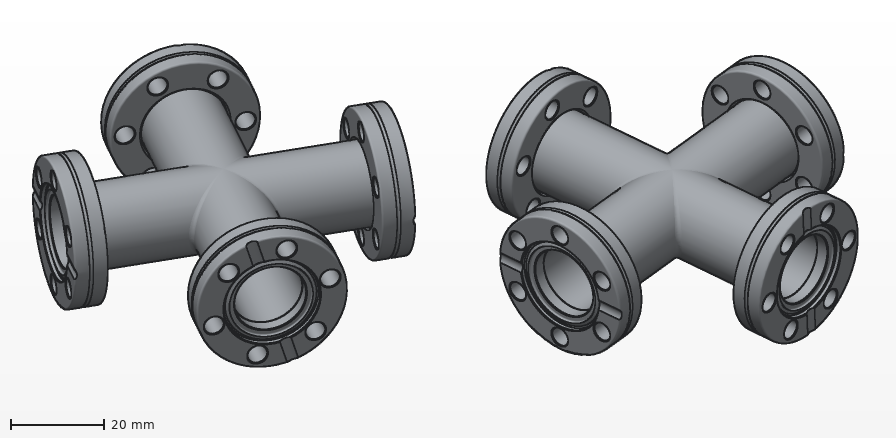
import cadquery as cq


PORT_REACH = 38.1
FLANGE_DIA = 33.7
FLANGE_THICKNESS = 7.55
BACK_PLANE = PORT_REACH - FLANGE_THICKNESS

TUBE_DIA = 19.1
TUBE_BORE_DIA = 15.8
SEAM_FILLET = 1.0
SOCKET_DEPTH = 3.3
TUBE_END = BACK_PLANE + SOCKET_DEPTH

FIXED_SOCKET_DIA = 19.3
RING_BORE_DIA = 19.4
BACK_MOUTH_DIA = 20.35

BORE_DIA = 16.0
FIXED_RECESS_DIA = 21.4
RING_RECESS_DIA = 21.5
INSERT_DIA = 21.3
KNIFE_DIA = 18.7
KNIFE_TIP_DEPTH = 0.7
KNIFE_FOOT_DIA = 20.4
OUTER_FLOOR_DEPTH = 1.1
KNIFE_ROOT_FILLET = 0.3
INNER_FLOOR_DEPTH = 1.4

RIM_FILLET = 0.45
RIM_GROOVE_WIDTH = 0.85
RIM_GROOVE_DEPTH = 0.4

BOLT_COUNT = 6
BOLT_DIA = 4.35
BOLT_CIRCLE_DIA = 27.0
LEAK_GROOVE_WIDTH = 2.6
LEAK_GROOVE_DEPTH = 0.5

SMALL_CHAMFER = 0.19
BOLT_MOUTH_DIA = BOLT_DIA + 2 * SMALL_CHAMFER

FIXED_CLOCKING = 90.0
RING_CLOCKING = {0: 16.0, 180: 2.8}


def cylinder(diameter, bottom, top):
    return cq.Workplane("XY").workplane(offset=bottom).circle(diameter / 2).extrude(top - bottom)


def to_port(body, direction):
    """Turn a body from the Z axis to the arm at this angle in the XY plane."""
    return body.rotate((0, 0, 0), (0, 1, 0), 90).rotate((0, 0, 0), (0, 0, 1), direction)


def crossed_rods(diameter):
    """Two rods along X and Y, joined into a plus sign."""
    along_x = cq.Workplane("YZ").circle(diameter / 2).extrude(TUBE_END, both=True)
    along_y = cq.Workplane("XZ").circle(diameter / 2).extrude(TUBE_END, both=True)
    return along_x.union(along_y)


def make_tube_cross():
    """Hollow cross with its seams filleted; the seams lie within one tube diameter of the centre."""
    reach = TUBE_DIA
    seams = cq.selectors.BoxSelector((-reach, -reach, -reach), (reach, reach, reach))
    outside = crossed_rods(TUBE_DIA).edges(seams).fillet(SEAM_FILLET)
    return outside.cut(crossed_rods(TUBE_BORE_DIA))


def countersink(diameter, mouth_dia, plane, inward):
    """45 degree cone that opens a hole to its mouth at a plane; inward is +1 or -1 along Z."""
    depth = (mouth_dia - diameter) / 2
    base = cq.Vector(0, 0, plane)
    axis = cq.Vector(0, 0, inward)
    return cq.Workplane("XY").add(cq.Solid.makeCone(mouth_dia / 2, diameter / 2, depth, base, axis))


def flange_blank():
    """Solid disc with rounded rims and a round groove round its middle."""
    blank = cylinder(FLANGE_DIA, BACK_PLANE, PORT_REACH).edges().fillet(RIM_FILLET)
    middle = (BACK_PLANE + PORT_REACH) / 2
    half_width = RIM_GROOVE_WIDTH / 2
    rim = FLANGE_DIA / 2
    groove = (
        cq.Workplane("XZ")
        .moveTo(rim, middle - half_width)
        .threePointArc((rim - RIM_GROOVE_DEPTH, middle), (rim, middle + half_width))
        .close()
        .revolve(360, (0, 0, 0), (0, 1, 0))
    )
    return blank.cut(groove)


def bolt_hole():
    """Through hole on the Z axis, chamfered at both ends."""
    hole = cylinder(BOLT_DIA, BACK_PLANE, PORT_REACH)
    hole = hole.union(countersink(BOLT_DIA, BOLT_MOUTH_DIA, BACK_PLANE, 1))
    return hole.union(countersink(BOLT_DIA, BOLT_MOUTH_DIA, PORT_REACH, -1))


def leak_groove():
    """Round-bottomed channel across the whole face along X; the recess splits it in two."""
    half_width = LEAK_GROOVE_WIDTH / 2
    return (
        cq.Workplane("YZ")
        .moveTo(-half_width, PORT_REACH)
        .threePointArc((0, PORT_REACH - LEAK_GROOVE_DEPTH), (half_width, PORT_REACH))
        .close()
        .extrude(FLANGE_DIA / 2, both=True)
    )


def cut_bolts_and_leak_grooves(body, clocking):
    """Bolt holes spaced evenly, straddling the two leak-check grooves."""
    pitch = 360 / BOLT_COUNT
    hole = bolt_hole().translate((BOLT_CIRCLE_DIA / 2, 0, 0))
    for index in range(BOLT_COUNT):
        angle = clocking + (index + 0.5) * pitch
        body = body.cut(hole.rotate((0, 0, 0), (0, 0, 1), angle))
    return body.cut(leak_groove().rotate((0, 0, 0), (0, 0, 1), clocking))


def seal_core(outer_dia):
    """Knife edge and its floors around the chamfered bore, down to the tube end."""
    outer_floor = PORT_REACH - OUTER_FLOOR_DEPTH
    inner_floor = PORT_REACH - INNER_FLOOR_DEPTH
    bore = BORE_DIA / 2
    return (
        cq.Workplane("XZ")
        .moveTo(bore, TUBE_END)
        .lineTo(outer_dia / 2, TUBE_END)
        .lineTo(outer_dia / 2, outer_floor)
        .lineTo(KNIFE_FOOT_DIA / 2, outer_floor)
        .lineTo(KNIFE_DIA / 2, PORT_REACH - KNIFE_TIP_DEPTH)
        .lineTo(KNIFE_DIA / 2, inner_floor + KNIFE_ROOT_FILLET)
        .radiusArc((KNIFE_DIA / 2 - KNIFE_ROOT_FILLET, inner_floor), KNIFE_ROOT_FILLET)
        .lineTo(bore + SMALL_CHAMFER, inner_floor)
        .lineTo(bore, inner_floor - SMALL_CHAMFER)
        .close()
        .revolve(360, (0, 0, 0), (0, 1, 0))
    )


def pierced_flange(back_dia, recess_dia, clocking):
    """Drilled flange open through its middle: a hole for the tube behind, a recess in front."""
    recess_mouth_dia = recess_dia + 2 * SMALL_CHAMFER
    body = flange_blank().cut(cylinder(back_dia, BACK_PLANE, TUBE_END))
    body = body.cut(countersink(back_dia, BACK_MOUTH_DIA, BACK_PLANE, 1))
    body = body.cut(cylinder(recess_dia, TUBE_END, PORT_REACH))
    body = body.cut(countersink(recess_dia, recess_mouth_dia, PORT_REACH, -1))
    return cut_bolts_and_leak_grooves(body, clocking)


def make_fixed_flange():
    body = pierced_flange(FIXED_SOCKET_DIA, FIXED_RECESS_DIA, FIXED_CLOCKING)
    return body.union(seal_core(FIXED_RECESS_DIA))


def make_ring(clocking):
    return pierced_flange(RING_BORE_DIA, RING_RECESS_DIA, clocking)


def make_insert():
    return seal_core(INSERT_DIA)


tube_cross = make_tube_cross()
fixed_flanges = [to_port(make_fixed_flange(), direction) for direction in (90, 270)]
rings = [to_port(make_ring(clocking), direction) for direction, clocking in RING_CLOCKING.items()]
inserts = [to_port(make_insert(), direction) for direction in RING_CLOCKING]

bodies = [tube_cross, *fixed_flanges, *rings, *inserts]
result = cq.Compound.makeCompound([body.val() for body in bodies])